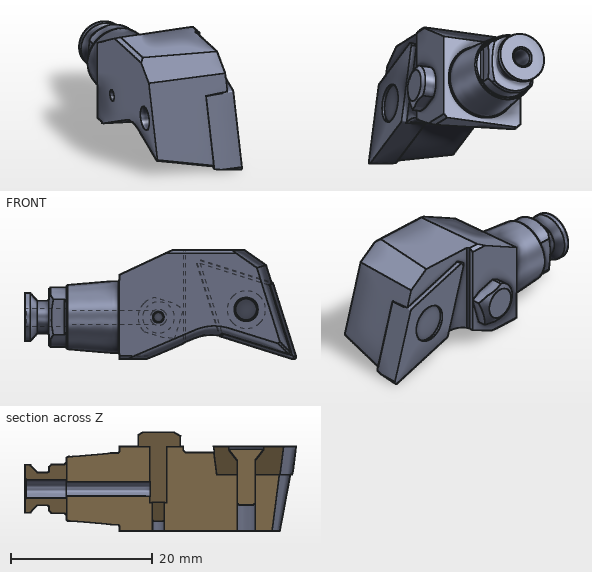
import cadquery as cq
import math


HALF_WIDTH = 6.0
WIDTH = 2 * HALF_WIDTH
BLOCK_TOP = 9.52
BLOCK_BOTTOM = -5.95
SHOULDER_TOP = 6.0
TOP_START_X = 7.55
EDGE_CHAMFER = 0.5
MOUTH_RADIUS = 6.8
TIP_LAND = 0.35
SIDE_RELIEF = 5.4
CUTTING_RELIEF = 7
LEAD_ANGLE = 17.3
REAR_SLOPE = 23.2
CREST_SLOPE = 35

CREST_CORNER = (19.45, 7.0)
CREST_FACE = (CREST_CORNER, -CREST_SLOPE, SIDE_RELIEF)
FRONT_FACE = (CREST_CORNER, LEAD_ANGLE - 90, CUTTING_RELIEF)
LOWER_FACE = ((15.45, -1.55), 180 - LEAD_ANGLE, CUTTING_RELIEF)
REAR_FACE = ((10.75, -1.8), 180 + REAR_SLOPE, SIDE_RELIEF)

STEP_X = 9.05
STEP_DEPTH = 0.85
STEP_CORNER = 0.3

TAPER_ROOT_X = -0.95
TAPER_ROOT_RADIUS = 5.1
ROOT_FLARE = 0.15
TAPER_END_X = -7.5
TAPER_END_RADIUS = 4.57
TAPER_CHAMFER = 0.2
STUD_LENGTH = 5.88
STUD_END_X = TAPER_END_X - STUD_LENGTH
COLLAR_RADIUS = 3.4
COLLAR_RIM_X = STUD_END_X + 0.75
NECK_START_X = STUD_END_X + 1.75
NECK_RADIUS = 2.35
NECK_FILLET = 0.25
NUT_START_X = STUD_END_X + 3.4
NUT_RADIUS = 4.25
NUT_CHAMFER = 0.25
WRENCH_FLAT = 3.45
FLAT_RUNOUT = 0.25
FLAT_BEVEL_START = 3.1
FLAT_BEVEL_RADIUS = 11.52
STUD_BORE_RADIUS = 1.25
STUD_BORE_CHAMFER = 0.23
COOLANT_BORE_RADIUS = 1.0

INSERT_THICKNESS = 4.0
INSERT_TOP_Y = HALF_WIDTH
INSERT_SEAT_Y = INSERT_TOP_Y - INSERT_THICKNESS
INSERT_CIRCLE = 9.52
INSERT_ANGLE = 55
INSERT_HEADING = -45
NOSE_RADIUS = 0.4
CUTTING_X = 25.05
CUTTING_Z = -6.0

SCREW_RADIUS = 1.7
SCREW_END_Y = -2.3
SCREW_END_CHAMFER = 0.2
SCREW_HEAD_RADIUS = 2.7
SCREW_HEAD_HEIGHT = 1.55
SCREW_HEAD_RECESS = 0.4

NOZZLE_X = 5.53
NOZZLE_RADIUS = 2.88
NOZZLE_HEIGHT = 2.05
NOZZLE_AIM = -17
NOZZLE_HALF_WIDTH = 2.55
NOZZLE_FLAT_END = 1.5
NOZZLE_LENGTH = 3.05
NOZZLE_MOUTH_HALF_WIDTH = 2.1
NOZZLE_TOP_RADIUS = 2.23
NOZZLE_CROWN_ANGLE = 30
STEM_RADIUS = 1.15
STEM_END_Y = -1.92
PIN_RADIUS = 0.8
PIN_END_Y = -4.6
PIN_CHAMFER = 0.1


def plane_at(y):
    """Workplane at height y whose local axes are X and Z; positive extrusion runs toward -Y."""
    return cq.Workplane("XZ", origin=(0, y, 0))


def peg(x, z, radius, low_y, high_y):
    """Cylinder along Y."""
    return plane_at(high_y).center(x, z).circle(radius).extrude(high_y - low_y)


def direction(degrees):
    return math.cos(math.radians(degrees)), math.sin(math.radians(degrees))


def shifted_line(face, depth):
    """Point and direction of a slanting face, moved outward by its relief at a given depth."""
    (x, z), heading, relief = face
    dx, dz = direction(heading)
    shift = depth * math.tan(math.radians(relief))
    return (x - dz * shift, z + dx * shift), (dx, dz)


def crossing(line, other):
    (x1, z1), (dx1, dz1) = line
    (x2, z2), (dx2, dz2) = other
    along = ((x2 - x1) * dz2 - (z2 - z1) * dx2) / (dx1 * dz2 - dz1 * dx2)
    return x1 + along * dx1, z1 + along * dz1


def moved(point, line, distance):
    """Point shifted along the direction of a line."""
    return point[0] + distance * line[1][0], point[1] + distance * line[1][1]


def block_outline(workplane, depth):
    """Closed outline of the block at a distance from its -Y side."""
    top = ((0, BLOCK_TOP), (1, 0))
    bottom = ((0, BLOCK_BOTTOM), (-1, 0))
    crest, front, lower, rear = (
        shifted_line(face, depth) for face in (CREST_FACE, FRONT_FACE, LOWER_FACE, REAR_FACE)
    )
    tip = crossing(front, lower)
    tip_half_angle = math.radians(LOWER_FACE[1] - FRONT_FACE[1] - 180) / 2
    tip_setback = TIP_LAND / 2 / math.sin(tip_half_angle)

    mouth_corner = crossing(lower, rear)
    half_turn = math.radians(REAR_FACE[1] - LOWER_FACE[1]) / 2
    mouth_setback = MOUTH_RADIUS * math.tan(half_turn)
    mouth_rise = MOUTH_RADIUS * (1 / math.cos(half_turn) - 1)
    inward_x, inward_z = direction((LOWER_FACE[1] + REAR_FACE[1]) / 2 + 90)
    mouth_middle = (mouth_corner[0] + mouth_rise * inward_x, mouth_corner[1] + mouth_rise * inward_z)

    return (
        workplane.moveTo(0, BLOCK_BOTTOM)
        .lineTo(0, SHOULDER_TOP)
        .lineTo(TOP_START_X, BLOCK_TOP)
        .lineTo(*crossing(top, crest))
        .lineTo(*crossing(crest, front))
        .lineTo(*moved(tip, front, -tip_setback))
        .lineTo(*moved(tip, lower, tip_setback))
        .lineTo(*moved(mouth_corner, lower, -mouth_setback))
        .threePointArc(mouth_middle, moved(mouth_corner, rear, mouth_setback))
        .lineTo(*crossing(rear, bottom))
        .close()
    )


def make_block():
    wide_side = block_outline(plane_at(HALF_WIDTH), WIDTH)
    block = block_outline(wide_side.workplane(offset=WIDTH), 0).loft(ruled=True)
    block = block.edges("|X").chamfer(EDGE_CHAMFER)

    step_floor = HALF_WIDTH - STEP_DEPTH
    step = (
        cq.Workplane("XY", origin=(0, 0, BLOCK_BOTTOM))
        .moveTo(STEP_X, HALF_WIDTH)
        .lineTo(STEP_X, step_floor + STEP_CORNER)
        .lineTo(STEP_X + STEP_CORNER, step_floor)
        .lineTo(CUTTING_X, step_floor)
        .lineTo(CUTTING_X, HALF_WIDTH)
        .close()
        .extrude(BLOCK_TOP - BLOCK_BOTTOM)
    )
    return block.cut(step)


def turned(points):
    """Solid of revolution about the shank axis from points (X, radius)."""
    return cq.Workplane("XZ").polyline(points).close().revolve(360, (0, 0, 0), (1, 0, 0))


def make_taper():
    return turned([
        (0, 0),
        (TAPER_END_X, 0),
        (TAPER_END_X, TAPER_END_RADIUS - TAPER_CHAMFER),
        (TAPER_END_X + TAPER_CHAMFER, TAPER_END_RADIUS),
        (TAPER_ROOT_X, TAPER_ROOT_RADIUS),
        (-ROOT_FLARE, TAPER_ROOT_RADIUS),
        (0, TAPER_ROOT_RADIUS + ROOT_FLARE),
    ])


def make_stud():
    stud = turned([
        (STUD_END_X, STUD_BORE_RADIUS + STUD_BORE_CHAMFER),
        (STUD_END_X, COLLAR_RADIUS),
        (COLLAR_RIM_X, COLLAR_RADIUS),
        (NECK_START_X, NECK_RADIUS),
        (NUT_START_X, NECK_RADIUS),
        (NUT_START_X, NUT_RADIUS - NUT_CHAMFER),
        (NUT_START_X + NUT_CHAMFER, NUT_RADIUS),
        (TAPER_END_X, NUT_RADIUS),
        (TAPER_END_X, STUD_BORE_RADIUS),
        (STUD_END_X + STUD_BORE_CHAMFER, STUD_BORE_RADIUS),
    ])
    neck_ends = stud.edges("%CIRCLE").filter(lambda edge: math.isclose(edge.radius(), NECK_RADIUS))
    stud = neck_ends.edges(">X").fillet(NECK_FILLET)
    for side in (1, -1):
        stud = stud.cut(make_flat_cutter(side)).intersect(make_flat_bevel(side))
    return stud


def make_flat_cutter(side):
    """Material milled away beside one wrench flat, with a sloping runout at the taper."""
    return (
        cq.Workplane("XY", origin=(0, 0, -NUT_RADIUS))
        .moveTo(NUT_START_X, side * WRENCH_FLAT)
        .lineTo(TAPER_END_X - FLAT_RUNOUT, side * WRENCH_FLAT)
        .lineTo(TAPER_END_X, side * (WRENCH_FLAT + FLAT_RUNOUT))
        .lineTo(TAPER_END_X, side * NUT_RADIUS)
        .lineTo(NUT_START_X, side * NUT_RADIUS)
        .close()
        .extrude(2 * NUT_RADIUS)
    )


def make_flat_bevel(side):
    """Wide 45 degree cone, set off from the axis, whose wall bevels the leading edge of one flat."""
    axis_y = side * (FLAT_BEVEL_START - FLAT_BEVEL_RADIUS)
    nut_length = TAPER_END_X - NUT_START_X
    cone = (
        cq.Workplane("YZ", origin=(NUT_START_X, axis_y, 0))
        .circle(FLAT_BEVEL_RADIUS)
        .workplane(offset=nut_length)
        .circle(FLAT_BEVEL_RADIUS + nut_length)
        .loft()
    )
    room_ahead = (
        cq.Workplane("YZ", origin=(STUD_END_X, 0, 0)).circle(NUT_RADIUS).extrude(NUT_START_X - STUD_END_X)
    )
    return cone.union(room_ahead)


def insert_center():
    """Center (X, Z) of the insert, on the diagonal through its nose."""
    nose_to_center = (INSERT_CIRCLE / 2 - NOSE_RADIUS) / math.sin(math.radians(INSERT_ANGLE / 2))
    nose_heading_x, nose_heading_z = direction(INSERT_HEADING)
    nose_x = CUTTING_X - NOSE_RADIUS
    nose_z = CUTTING_Z + NOSE_RADIUS
    return nose_x - nose_to_center * nose_heading_x, nose_z - nose_to_center * nose_heading_z


def make_insert_blank():
    """Rhombic insert without its hole, narrowing toward its seat."""
    half_angle = math.radians(INSERT_ANGLE / 2)
    half_long = INSERT_CIRCLE / 2 / math.sin(half_angle)
    half_short = INSERT_CIRCLE / 2 / math.cos(half_angle)
    x, z = insert_center()
    rhombus = (
        cq.Sketch()
        .polygon([(half_long, 0), (0, half_short), (-half_long, 0), (0, -half_short), (half_long, 0)])
        .vertices()
        .fillet(NOSE_RADIUS)
    )
    return (
        plane_at(INSERT_TOP_Y)
        .center(x, z)
        .transformed(rotate=(0, 0, INSERT_HEADING))
        .placeSketch(rhombus)
        .extrude(INSERT_THICKNESS, taper=CUTTING_RELIEF)
    )


def make_insert_screw():
    x, z = insert_center()
    head_y = INSERT_TOP_Y - SCREW_HEAD_RECESS
    shaft = peg(x, z, SCREW_RADIUS, SCREW_END_Y, head_y).faces("<Y").chamfer(SCREW_END_CHAMFER)
    head = (
        plane_at(head_y)
        .center(x, z)
        .circle(SCREW_HEAD_RADIUS)
        .workplane(offset=SCREW_HEAD_HEIGHT)
        .circle(SCREW_RADIUS)
        .loft()
    )
    return shaft.union(head)


def make_insert(blank, screw):
    """Insert with the countersunk hole that its screw fills up to a shallow recess."""
    x, z = insert_center()
    recess = peg(x, z, SCREW_HEAD_RADIUS, INSERT_TOP_Y - SCREW_HEAD_RECESS, INSERT_TOP_Y)
    return blank.cut(screw).cut(recess)


def make_nozzle():
    top_y = HALF_WIDTH + NOZZLE_HEIGHT
    round_end_x = -math.sqrt(NOZZLE_RADIUS**2 - NOZZLE_HALF_WIDTH**2)
    head = (
        plane_at(top_y)
        .center(NOZZLE_X, 0)
        .transformed(rotate=(0, 0, NOZZLE_AIM))
        .moveTo(round_end_x, NOZZLE_HALF_WIDTH)
        .lineTo(NOZZLE_FLAT_END, NOZZLE_HALF_WIDTH)
        .lineTo(NOZZLE_LENGTH, NOZZLE_MOUTH_HALF_WIDTH)
        .lineTo(NOZZLE_LENGTH, -NOZZLE_MOUTH_HALF_WIDTH)
        .lineTo(NOZZLE_FLAT_END, -NOZZLE_HALF_WIDTH)
        .lineTo(round_end_x, -NOZZLE_HALF_WIDTH)
        .threePointArc((-NOZZLE_RADIUS, 0), (round_end_x, NOZZLE_HALF_WIDTH))
        .close()
        .extrude(NOZZLE_HEIGHT)
    )
    crown_base_radius = NOZZLE_TOP_RADIUS + NOZZLE_HEIGHT / math.tan(math.radians(NOZZLE_CROWN_ANGLE))
    crown = (
        plane_at(top_y)
        .center(NOZZLE_X, 0)
        .circle(NOZZLE_TOP_RADIUS)
        .workplane(offset=NOZZLE_HEIGHT)
        .circle(crown_base_radius)
        .loft()
    )
    stem = peg(NOZZLE_X, 0, STEM_RADIUS, STEM_END_Y, HALF_WIDTH)
    return head.intersect(crown).union(stem)


def make_pin():
    return peg(NOZZLE_X, 0, PIN_RADIUS, PIN_END_Y, STEM_END_Y).faces("<Y").chamfer(PIN_CHAMFER)


def make_holder(blank, screw):
    """Block and taper in one piece, with the openings that take the other bodies."""
    screw_x, screw_z = insert_center()
    coolant_bore = (
        cq.Workplane("YZ", origin=(TAPER_END_X, 0, 0))
        .circle(COOLANT_BORE_RADIUS)
        .extrude(NOZZLE_X - TAPER_END_X)
    )
    return (
        make_block()
        .union(make_taper())
        .cut(coolant_bore)
        .cut(blank)
        .cut(screw)
        .cut(peg(screw_x, screw_z, SCREW_RADIUS, -HALF_WIDTH, INSERT_SEAT_Y))
        .cut(peg(NOZZLE_X, 0, STEM_RADIUS, STEM_END_Y, HALF_WIDTH))
        .cut(peg(NOZZLE_X, 0, PIN_RADIUS, -HALF_WIDTH, STEM_END_Y))
    )


insert_blank = make_insert_blank()
insert_screw = make_insert_screw()
insert = make_insert(insert_blank, insert_screw)
holder = make_holder(insert_blank, insert_screw)
stud = make_stud()
nozzle = make_nozzle()
pin = make_pin()

result = cq.Compound.makeCompound(
    [holder.val(), stud.val(), insert.val(), insert_screw.val(), nozzle.val(), pin.val()]
)